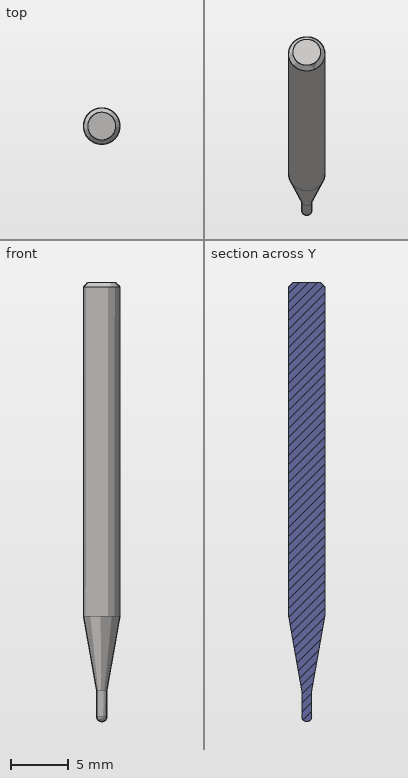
import cadquery as cq
import math

overall_length = 38.1
shank_diameter = 3.175
shank_chamfer = 0.381
neck_diameter = 0.9
neck_end_height = 2.7
taper_end_height = 9.15

shank_radius = shank_diameter / 2
neck_radius = neck_diameter / 2
ball_radius = neck_radius
ball_mid = ball_radius * math.sqrt(0.5)


def tool_profile():
    """Half section of the tool in the XZ plane, from the ball tip up to the shank end."""
    return (
        cq.Workplane("XZ")
        .moveTo(0, 0)
        .threePointArc((ball_mid, ball_radius - ball_mid), (ball_radius, ball_radius))
        .lineTo(neck_radius, neck_end_height)
        .lineTo(shank_radius, taper_end_height)
        .lineTo(shank_radius, overall_length - shank_chamfer)
        .lineTo(shank_radius - shank_chamfer, overall_length)
        .lineTo(0, overall_length)
        .close()
    )


result = tool_profile().revolve(360, (0, 0, 0), (0, 1, 0))